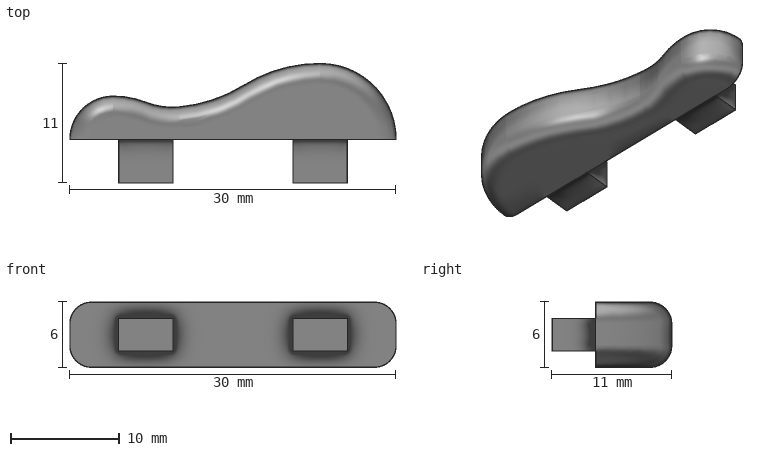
import cadquery as cq
import math

LENGTH = 30.0
THICKNESS = 6.0
EDGE_RADIUS = 2.0

SMALL_END_RADIUS = 4.0
LARGE_END_RADIUS = 7.0

WAIST = (10.0, 3.0)
RISE = (16.0, 5.0)

PEG_WIDTH = 5.0
PEG_HEIGHT = 3.0
PEG_LENGTH = 4.0
PEG_CENTERS_X = (7.0, 23.0)

SMALL_CREST = (SMALL_END_RADIUS, SMALL_END_RADIUS)
LARGE_CREST = (LENGTH - LARGE_END_RADIUS, LARGE_END_RADIUS)


def chord_angle(start, end):
    return math.atan2(end[1] - start[1], end[0] - start[0])


def waist_slope():
    """Slope angle at the waist; each arc turns by twice its chord deviation."""
    rise_angle = 2 * chord_angle(RISE, LARGE_CREST)
    return 2 * chord_angle(WAIST, RISE) - rise_angle


def descent_point():
    """Midway point where the arcs from the small crest and to the waist meet tangentially."""
    half_span = (WAIST[0] - SMALL_CREST[0]) / 2
    drop_ratio = (SMALL_CREST[1] - WAIST[1]) / half_span
    k = math.tan(waist_slope() / 2)
    b = 2 - k * drop_ratio
    c = k + drop_ratio
    u = (-b + math.sqrt(b**2 + 4 * k * c)) / (2 * k)
    return (SMALL_CREST[0] + half_span, SMALL_CREST[1] - u * half_span)


def quarter_midpoint(center_x, radius, side):
    offset = radius * math.sqrt(0.5)
    return (center_x + side * offset, offset)


def make_body():
    """Wavy plate with a flat back and rounded front edges."""
    outline = (
        cq.Workplane("XY", origin=(0, 0, -THICKNESS / 2))
        .moveTo(0, 0)
        .threePointArc(quarter_midpoint(SMALL_CREST[0], SMALL_END_RADIUS, -1), SMALL_CREST)
        .tangentArcPoint(descent_point(), relative=False)
        .tangentArcPoint(WAIST, relative=False)
        .tangentArcPoint(RISE, relative=False)
        .tangentArcPoint(LARGE_CREST, relative=False)
        .threePointArc(quarter_midpoint(LARGE_CREST[0], LARGE_END_RADIUS, 1), (LENGTH, 0))
        .close()
    )
    plate = outline.extrude(THICKNESS)
    return plate.faces("|Z").edges("%CIRCLE").fillet(EDGE_RADIUS)


def make_peg(center_x):
    """Rectangular peg standing out from the back face."""
    return cq.Workplane("XY").box(PEG_WIDTH, PEG_LENGTH, PEG_HEIGHT).translate((center_x, -PEG_LENGTH / 2, 0))


result = make_body()
for peg_x in PEG_CENTERS_X:
    result = result.union(make_peg(peg_x))